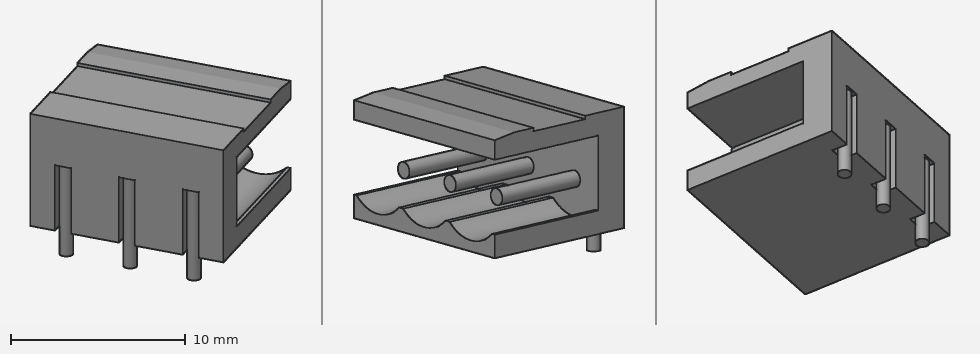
import cadquery as cq

length = 12.0
depth = 10.0
height = 7.2
back_wall = 1.99
floor_thickness = 1.4
roof_thickness = 1.35

relief = 0.2
groove_start = 3.0
groove_end = 7.0
lip_slope_start = 8.5

contact_count = 3
pitch = 3.96
contact_diameter = 1.0
contact_height = 2.89
contact_tip = 8.0

tail_diameter = 0.8
tail_offset = 0.5
tail_drop = 1.6
slot_width = 1.0
slot_depth = 2 * tail_offset
slot_height = 4.2

trough_width = 3.6
trough_sag = 0.75
trough_bottom = floor_thickness - trough_sag
trough_radius = (trough_width**2 / 4 + trough_sag**2) / (2 * trough_sag)

contact_centers = [
    length / 2 + (i - (contact_count - 1) / 2) * pitch for i in range(contact_count)
]


def housing():
    """C-shaped section in the YZ plane, extruded along X."""
    outline = [
        (0, 0),
        (depth, 0),
        (depth, floor_thickness),
        (back_wall, floor_thickness),
        (back_wall, height - roof_thickness),
        (depth, height - roof_thickness),
        (depth, height - relief),
        (lip_slope_start, height),
        (groove_end, height),
        (groove_end, height - relief),
        (groove_start, height - relief),
        (groove_start, height),
        (0, height),
    ]
    return cq.Workplane("YZ").polyline(outline).close().extrude(length)


def cylinder_along(direction, start, diameter, reach):
    """Round bar of the given length from a start point."""
    return cq.Workplane(
        cq.Solid.makeCylinder(diameter / 2, reach, cq.Vector(*start), cq.Vector(*direction))
    )


def trough(x):
    """Cutter for the trough, running from the back wall to the open side."""
    start = (x, back_wall, trough_bottom + trough_radius)
    bar = cylinder_along((0, 1, 0), start, 2 * trough_radius, depth - back_wall)
    keep = cq.Workplane("XY").box(
        trough_width, depth - back_wall, floor_thickness, centered=(True, False, False)
    )
    return bar.intersect(keep.translate((x, back_wall, 0)))


def slot(x):
    """Cutter for the tail slot, open at the back face and the underside."""
    block = cq.Workplane("XY").box(
        slot_width, slot_depth, slot_height, centered=(True, False, False)
    )
    return block.translate((x, 0, 0))


def contact(x):
    """Straight contact reaching out of the back wall."""
    return cylinder_along(
        (0, 1, 0), (x, back_wall, contact_height), contact_diameter, contact_tip - back_wall
    )


def tail(x):
    """Solder tail from the top of the slot to below the housing."""
    return cylinder_along(
        (0, 0, 1), (x, tail_offset, -tail_drop), tail_diameter, slot_height + tail_drop
    )


result = housing()
for center in contact_centers:
    result = result.cut(trough(center)).cut(slot(center))
    result = result.union(contact(center)).union(tail(center))